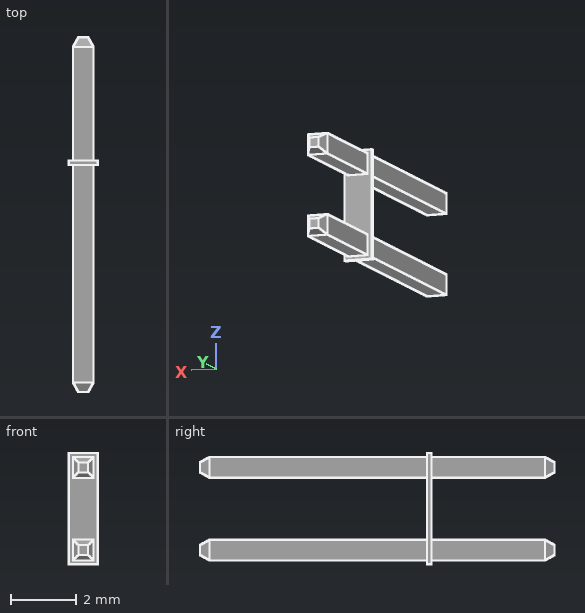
import cadquery as cq

pin_length = 10.92
plate_width = 0.9
plate_height = 3.43

pin_side = 0.64
pin_pitch = 2.54
tip_side = 0.31
tip_length = 0.31

plate_thickness = 0.14
plate_to_back_end = 3.79

shaft_length = pin_length - 2 * tip_length


def make_pin(z_center):
    """Square pin centred on Y = 0, with a truncated pyramid at each end."""
    shaft = cq.Workplane("XY").box(pin_side, shaft_length, pin_side)
    back_tip = (
        cq.Workplane("XZ", origin=(0, shaft_length / 2, 0))
        .rect(pin_side, pin_side)
        .workplane(offset=-tip_length)
        .rect(tip_side, tip_side)
        .loft(ruled=True)
    )
    front_tip = back_tip.mirror("XZ")
    return shaft.union(back_tip).union(front_tip).translate((0, 0, z_center))


plate_y = pin_length / 2 - plate_to_back_end - plate_thickness / 2
result = cq.Workplane("XY").box(plate_width, plate_thickness, plate_height).translate((0, plate_y, 0))

for side in (-1, 1):
    result = result.union(make_pin(side * pin_pitch / 2))